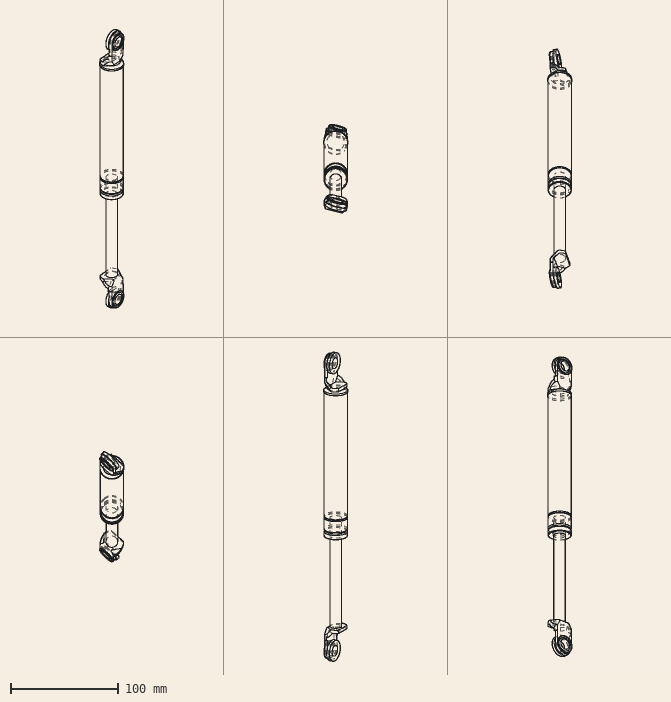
import cadquery as cq

overall_length = 305.0

tube_radius = 11.0
tube_bottom = -28.7
flange_radius = 11.3
flange_bottom = 114.5
flange_top = 116.2
crown_radius = 8.2
crimp_depth = 0.5
crimp_spans = [(-10.5, -8.5), (-24.0, -21.5)]
bottom_chamfer = 0.5

rod_radius = 5.5
rod_insertion = 18.3

bracket_seat = 118.0
sheet_thickness = 3.5
base_radius = tube_radius
base_flat_x = -7.5
tab_inner_x = 4.0
tab_thickness = 3.0
tab_outer_x = tab_inner_x + tab_thickness
tab_half_width = 8.7
shoulder_top = 130.2
heel_radius = 2.5
gusset_legs = (7.3, 5.0, 6.7)
heel_cut_legs = (8.2, 6.7, 10.5)

eyelet_flange_radius = 10.0
eyelet_flange_thickness = 3.0
eyelet_lip_radius = 8.4
eyelet_lip_thickness = 1.0
eyelet_barrel_radius = 6.7
eyelet_bore_radius = 5.03
eye_z = overall_length / 2 - eyelet_flange_radius


def make_cylinder():
    """Cylinder with a crowned top flange, crimped grooves and a blind rod socket."""
    outline = (
        cq.Workplane("XZ")
        .moveTo(0, tube_bottom)
        .lineTo(tube_radius - bottom_chamfer, tube_bottom)
        .lineTo(tube_radius, tube_bottom + bottom_chamfer)
        .lineTo(tube_radius, flange_bottom)
        .lineTo(flange_radius, flange_bottom)
        .lineTo(flange_radius, flange_top)
        .lineTo(crown_radius, bracket_seat)
        .lineTo(0, bracket_seat)
        .close()
    )
    body = outline.revolve(360, (0, 0), (0, 1))
    for low, high in crimp_spans:
        crimp = (
            cq.Workplane("XZ")
            .moveTo(tube_radius, low)
            .lineTo(tube_radius - crimp_depth, (low + high) / 2)
            .lineTo(tube_radius, high)
            .close()
            .revolve(360, (0, 0), (0, 1))
        )
        body = body.cut(crimp)
    return body.cut(make_rod())


def make_rod():
    """Rod from the lower bracket into the cylinder."""
    rod_length = tube_bottom + rod_insertion + bracket_seat
    return cq.Workplane("XY").workplane(offset=-bracket_seat).circle(rod_radius).extrude(rod_length)


def x_disc(radius, start_x, thickness):
    """Disc on the eye axis, running along +X from start_x."""
    return cq.Workplane("YZ", origin=(start_x, 0, eye_z)).circle(radius).extrude(thickness)


def corner_wedge(corner_x, corner_z, legs, side):
    """Right-angled tetrahedron at a side corner; side is +1 or -1 along Y."""
    leg_x, leg_y, leg_z = legs
    corner = cq.Vector(corner_x, side * base_radius, corner_z)
    tip_x = corner - cq.Vector(leg_x, 0, 0)
    tip_y = corner - cq.Vector(0, side * leg_y, 0)
    tip_z = corner + cq.Vector(0, 0, leg_z)
    triangles = [
        (corner, tip_x, tip_y),
        (corner, tip_y, tip_z),
        (corner, tip_z, tip_x),
        (tip_x, tip_y, tip_z),
    ]
    faces = [cq.Face.makeFromWires(cq.Wire.makePolygon(points, close=True)) for points in triangles]
    return cq.Workplane(cq.Solid.makeSolid(cq.Shell.makeShell(faces)).fix())


def make_upper_bracket():
    """Round foot with one flat side, bent up into an eye tab with gusseted corners."""
    foot_top = bracket_seat + sheet_thickness
    foot = (
        cq.Workplane("XZ")
        .moveTo(base_flat_x, bracket_seat)
        .lineTo(tab_outer_x, bracket_seat)
        .lineTo(tab_outer_x, shoulder_top)
        .lineTo(tab_inner_x, shoulder_top)
        .lineTo(tab_inner_x, foot_top)
        .lineTo(base_flat_x, foot_top)
        .close()
        .extrude(base_radius, both=True)
    )
    foot = foot.edges("|Y and >X and <Z").fillet(heel_radius)
    for side in (-1, 1):
        foot = foot.union(corner_wedge(tab_inner_x, foot_top, gusset_legs, side))
        foot = foot.cut(corner_wedge(tab_outer_x, bracket_seat, heel_cut_legs, side))
    foot_limit = (
        cq.Workplane("XY")
        .workplane(offset=bracket_seat)
        .circle(base_radius)
        .extrude(shoulder_top - bracket_seat)
    )
    foot = foot.intersect(foot_limit)
    tab_bottom = shoulder_top
    tab = (
        cq.Workplane("XY", origin=(tab_inner_x, 0, tab_bottom))
        .rect(tab_thickness, 2 * tab_half_width)
        .extrude(eye_z - tab_bottom)
        .translate((tab_thickness / 2, 0, 0))
    )
    eye = x_disc(tab_half_width, tab_inner_x, tab_thickness)
    eye_hole = x_disc(eyelet_barrel_radius, tab_inner_x, tab_thickness)
    return foot.union(tab).union(eye).cut(eye_hole)


def make_upper_eyelet():
    """Flanged bush through the bracket eye, with a narrower lip on the far side."""
    flange_x = tab_inner_x - eyelet_flange_thickness
    flange = x_disc(eyelet_flange_radius, flange_x, eyelet_flange_thickness)
    barrel = x_disc(eyelet_barrel_radius, tab_inner_x, tab_thickness)
    lip = x_disc(eyelet_lip_radius, tab_outer_x, eyelet_lip_thickness)
    bore_length = eyelet_flange_thickness + tab_thickness + eyelet_lip_thickness
    bore = x_disc(eyelet_bore_radius, flange_x, bore_length)
    return flange.union(barrel).union(lip).cut(bore)


bodies = [make_cylinder().solids().val(), make_rod().val()]
for upper_fitting in (make_upper_bracket(), make_upper_eyelet()):
    bodies.append(upper_fitting.solids().val())
    bodies.append(upper_fitting.mirror("XY").solids().val())

result = cq.Compound.makeCompound(bodies)